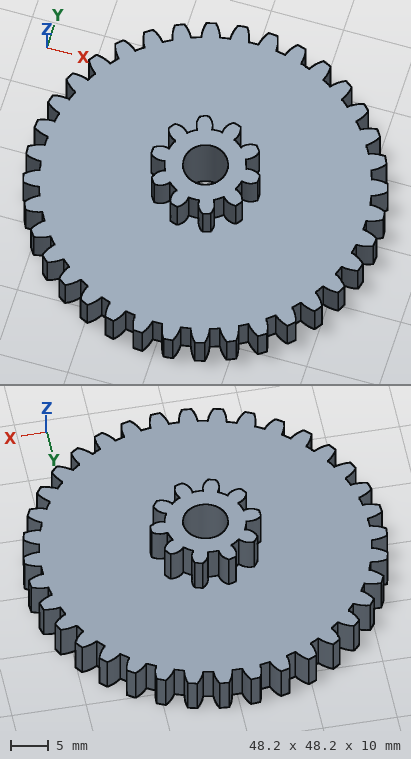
import cadquery as cq
import math


wheel_size = 48.2
total_height = 10.0
wheel_thickness = total_height / 2
bore_radius = 3.0

wheel_teeth = 36
wheel_half_pitch = 180.0 / wheel_teeth
wheel_tip_half_angle = 1.5
wheel_tip_radius = wheel_size / 2 / math.cos(math.radians(wheel_half_pitch - wheel_tip_half_angle))
wheel_tip_half_width = wheel_tip_radius * math.sin(math.radians(wheel_tip_half_angle))
wheel_root_radius = 22.05
wheel_root_half_width = 1.25
wheel_flank_radius = 23.15
wheel_flank_half_width = 1.05

pinion_teeth = 10
pinion_tip_radius = 7.4
pinion_tip_half_width = 0.55
pinion_root_radius = 5.4
pinion_root_half_width = 0.95
pinion_flank_radius = 6.5
pinion_flank_half_width = 1.0


def polar(radius, angle):
    """Point at a radius and an angle in degrees."""
    return (radius * math.cos(math.radians(angle)), radius * math.sin(math.radians(angle)))


def half_angle(radius, half_width):
    """Angle in degrees that a half width covers at a radius."""
    return math.degrees(math.asin(half_width / radius))


def gear(teeth, first_angle, root, flank, tip, height):
    """Gear blank; root, flank and tip are (radius, tooth half width) pairs."""
    pitch = 360.0 / teeth
    root_radius, flank_radius, tip_radius = root[0], flank[0], tip[0]
    root_angle = half_angle(*root)
    flank_angle = half_angle(*flank)
    tip_angle = half_angle(*tip)

    outline = cq.Workplane("XY").moveTo(*polar(root_radius, first_angle - root_angle))
    for tooth in range(teeth):
        centre = first_angle + tooth * pitch
        outline = outline.threePointArc(
            polar(flank_radius, centre - flank_angle), polar(tip_radius, centre - tip_angle)
        )
        outline = outline.threePointArc(
            polar(tip_radius, centre), polar(tip_radius, centre + tip_angle)
        )
        outline = outline.threePointArc(
            polar(flank_radius, centre + flank_angle), polar(root_radius, centre + root_angle)
        )
        outline = outline.threePointArc(
            polar(root_radius, centre + pitch / 2), polar(root_radius, centre + pitch - root_angle)
        )
    return outline.close().extrude(height)


wheel = gear(
    wheel_teeth,
    wheel_half_pitch,
    (wheel_root_radius, wheel_root_half_width),
    (wheel_flank_radius, wheel_flank_half_width),
    (wheel_tip_radius, wheel_tip_half_width),
    wheel_thickness,
)

pinion = gear(
    pinion_teeth,
    0.0,
    (pinion_root_radius, pinion_root_half_width),
    (pinion_flank_radius, pinion_flank_half_width),
    (pinion_tip_radius, pinion_tip_half_width),
    total_height,
)

bore = cq.Workplane("XY").circle(bore_radius).extrude(total_height)

result = wheel.union(pinion).cut(bore)